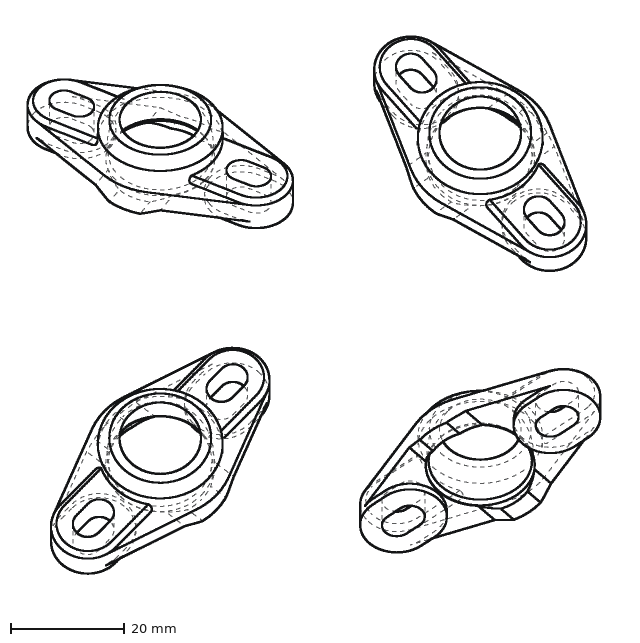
import cadquery as cq
import math

length = 52.0
hub_radius = 13.0
ear_radius = 6.5
ear_offset = length / 2 - ear_radius

web_bottom = 1.5
web_top = 5.5
pad_top = 6.5
collar_shoulder = 9.0
collar_top = 11.0
pad_chamfer = pad_top - web_top

collar_radius = 11.0
collar_chamfer = collar_top - collar_shoulder
collar_fillet = pad_chamfer

bore_radius = 7.2
mouth_radius = 9.6
mouth_depth = 1.65
lip_radius = 9.1
lip_height = 2.6
seat_center = (
    (collar_top**2 - lip_height**2 + bore_radius**2 - lip_radius**2)
    / (2 * (collar_top - lip_height))
)
seat_radius = math.hypot(bore_radius, collar_top - seat_center)

slot_length = 8.3
slot_width = 5.2
slot_offset = 18.0
foot_inner_offset = 16.45

rib_bottom_half = 3.1
rib_top_half = 6.6


def rounded_strip(x_start, x_end, radius, z_start, z_end):
    """Slot-shaped prism whose end arcs are centred at x_start and x_end."""
    span = x_end - x_start
    return (
        cq.Workplane("XY", origin=((x_start + x_end) / 2, 0, z_start))
        .slot2D(span + 2 * radius, 2 * radius)
        .extrude(z_end - z_start)
    )


def flange_web():
    """Diamond plate formed by lines tangent to the hub and both ears."""
    sine = (hub_radius - ear_radius) / ear_offset
    cosine = math.sqrt(1 - sine**2)
    hub_x, hub_y = hub_radius * sine, hub_radius * cosine
    ear_x, ear_y = ear_offset + ear_radius * sine, ear_radius * cosine
    return (
        cq.Workplane("XY")
        .moveTo(-hub_x, hub_y)
        .threePointArc((0, hub_radius), (hub_x, hub_y))
        .lineTo(ear_x, ear_y)
        .threePointArc((length / 2, 0), (ear_x, -ear_y))
        .lineTo(hub_x, -hub_y)
        .threePointArc((0, -hub_radius), (-hub_x, -hub_y))
        .lineTo(-ear_x, -ear_y)
        .threePointArc((-length / 2, 0), (-ear_x, ear_y))
        .close()
        .extrude(web_top)
    )


def underside_relief(side):
    """Space beside the hub rib, on the given side of the part."""
    return (
        cq.Workplane("XZ")
        .polyline([
            (side * rib_bottom_half, 0),
            (side * rib_top_half, web_bottom),
            (side * length, web_bottom),
            (side * length, 0),
        ])
        .close()
        .extrude(hub_radius, both=True)
    )


def collar():
    """Chamfered ring with a concave fillet running down to the web."""
    foot_radius = collar_radius + collar_fillet
    fillet_reach = collar_fillet * (1 - math.sqrt(0.5))
    return (
        cq.Workplane("XZ")
        .moveTo(0, web_bottom)
        .lineTo(lip_radius, web_bottom)
        .lineTo(foot_radius, web_top)
        .threePointArc(
            (collar_radius + fillet_reach, web_top + fillet_reach),
            (collar_radius, pad_top),
        )
        .lineTo(collar_radius, collar_shoulder)
        .lineTo(collar_radius - collar_chamfer, collar_top)
        .lineTo(0, collar_top)
        .close()
        .revolve(360, (0, 0, 0), (0, 1, 0))
    )


def bearing_seat():
    """Solid of the opening: cylindrical mouth, lead-in cone and spherical zone."""
    return (
        cq.Workplane("XZ")
        .lineTo(mouth_radius, 0)
        .lineTo(mouth_radius, mouth_depth)
        .lineTo(lip_radius, lip_height)
        .threePointArc((seat_radius, seat_center), (bore_radius, collar_top))
        .lineTo(0, collar_top)
        .close()
        .revolve(360, (0, 0, 0), (0, 1, 0))
    )


body = flange_web()
for side in (-1, 1):
    body = body.cut(underside_relief(side))

raised_pad = rounded_strip(-ear_offset, ear_offset, ear_radius, web_bottom, pad_top)
body = body.union(raised_pad.faces(">Z").chamfer(pad_chamfer))

for side in (-1, 1):
    foot_ends = sorted((side * foot_inner_offset, side * ear_offset))
    body = body.union(rounded_strip(*foot_ends, ear_radius, 0, web_top))

body = body.union(collar()).cut(bearing_seat())

slots = (
    cq.Workplane("XY")
    .pushPoints([(-slot_offset, 0), (slot_offset, 0)])
    .slot2D(slot_length, slot_width)
    .extrude(pad_top)
)
result = body.cut(slots)